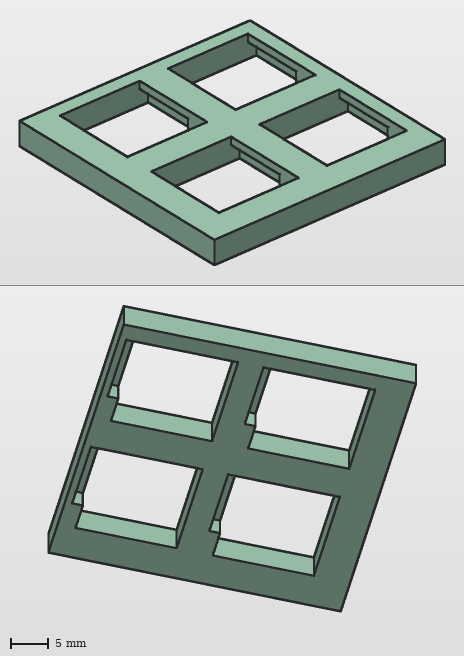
import cadquery as cq
import math

span = 49.7
thickness = 4.0
turn = 15.0
turn_radians = math.radians(turn)
side = span / (math.cos(turn_radians) + math.sin(turn_radians))

opening = 14.0
pitch = 19.05
edge_margin = 2.5
left_center = -side / 2 + edge_margin + opening / 2
back_center = side / 2 - edge_margin - opening / 2

lip_thickness = 1.3
relief_length = 10.05
relief_depth = 1.5


def block(width, depth, height):
    """Box centred in X and Y that stands on Z = 0."""
    return cq.Workplane("XY").box(width, depth, height, centered=(True, True, False))


def opening_cutter():
    """Through opening joined with the relief behind its back wall."""
    window = block(opening, opening, thickness)
    relief = block(relief_length, 2 * relief_depth, thickness - lip_thickness)
    relief = relief.translate(((relief_length - opening) / 2, opening / 2, 0))
    return window.union(relief)


plate = block(side, side, thickness)
for column in range(2):
    for row in range(2):
        center = (left_center + column * pitch, back_center - row * pitch, 0)
        plate = plate.cut(opening_cutter().translate(center))

result = plate.rotate((0, 0, 0), (0, 0, 1), -turn)